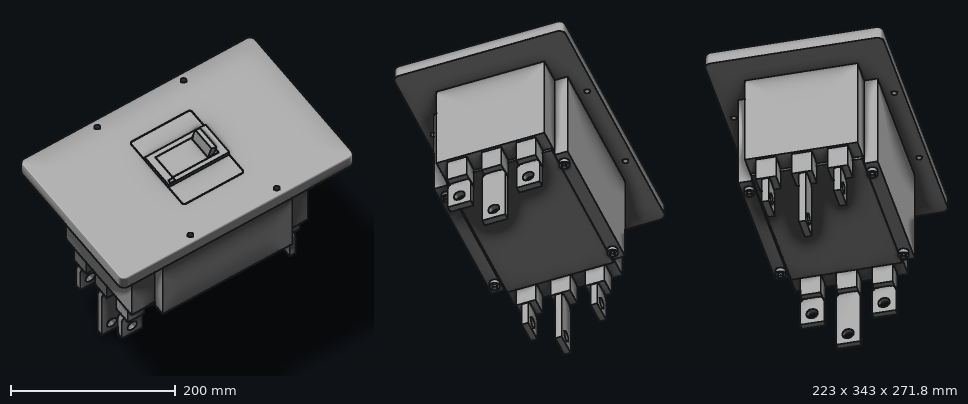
import cadquery as cq
import math


plate_x = 223.0
plate_y = 343.0
plate_t = 18.2
plate_corner_r = 8.5
plate_edge_r = 2.0
screw_hole_d = 7.2
screw_hole_x = 100.0
screw_hole_y = 63.5

nose_x = 115.5
nose_y = 89.2
nose_top = plate_t + 1.0
nose_corner_r = 3.5
centre_x = 51.0
centre_top = 24.0

recess_depth = 0.7
recess_x = 37.0
recess_y = 67.5
notch_x = 4.8
notch_y = 7.2
notch_centre_x = 22.0
recess_floor = centre_top - recess_depth

toggle_x = 34.5
toggle_t = 8.0
toggle_lean = 20.0
toggle_top = 37.5
toggle_front_y = 19.0

case_x = 140.5
case_y = 259.3
case_h = 124.0
rail_outer_x = 174.2
rail_y = 190.7
rail_h = 130.0
pad_x = 138.5
pad_h = 128.0

stud_x = 77.0
stud_y = 80.0
nut_d = 12.7
nut_h = 6.0
stud_d = 6.5
stud_h = 3.5

terminal_pitch = 45.0
terminal_y = 114.2
post_x = 25.5
post_y = 24.5
post_bottom = -154.7
tab_w = 30.2
tab_t = 8.5
tab_corner_r = 7.0
tab_hole_d = 14.0
tab_hole_to_end = 14.7
short_tab_bottom = -194.0
long_tab_bottom = -234.3
long_tab_shift = 1.5

pad_y = 2 * terminal_y - post_y


def block(size_x, size_y, bottom, top):
    """Box centred on the Z axis between two heights."""
    return (
        cq.Workplane("XY")
        .workplane(offset=bottom)
        .rect(size_x, size_y)
        .extrude(top - bottom)
    )


def make_nose():
    """Rounded block that fills the window and stands slightly above the plate."""
    return block(nose_x, nose_y, 0, nose_top).edges("|Z").fillet(nose_corner_r)


def make_cover_plate():
    plate = block(plate_x, plate_y, 0, plate_t).edges("|Z").fillet(plate_corner_r)
    plate = plate.faces(">Z").edges().fillet(plate_edge_r)
    screw_holes = (
        cq.Workplane("XY")
        .rect(2 * screw_hole_x, 2 * screw_hole_y, forConstruction=True)
        .vertices()
        .circle(screw_hole_d / 2)
        .extrude(plate_t)
    )
    return plate.cut(screw_holes).cut(make_nose())


def make_raised_centre():
    """Raised strip of the nose with the toggle recess and a small corner notch."""
    centre = block(centre_x, nose_y, 0, centre_top)
    recess = block(recess_x, recess_y, recess_floor, centre_top)
    notch = block(notch_x, notch_y, recess_floor, centre_top)
    notch_centre_y = -(recess_y + notch_y) / 2
    return centre.cut(recess).cut(notch.translate((notch_centre_x, notch_centre_y, 0)))


def make_toggle():
    """Leaning lever, rooted on the recess floor and square at its tip."""
    lean = math.radians(toggle_lean)
    run = (toggle_top - recess_floor) * math.tan(lean)
    tip_front_y = toggle_front_y + run
    tip_back_y = tip_front_y + toggle_t * math.cos(lean)
    tip_back_z = toggle_top - toggle_t * math.sin(lean)
    root_back_y = toggle_front_y + toggle_t / math.cos(lean)
    return (
        cq.Workplane("YZ")
        .moveTo(toggle_front_y, recess_floor)
        .lineTo(tip_front_y, toggle_top)
        .lineTo(tip_back_y, tip_back_z)
        .lineTo(root_back_y, recess_floor)
        .close()
        .extrude(toggle_x / 2, both=True)
    )


def make_case():
    """Long case, the two deeper rails on its sides and the pad between them."""
    rail_x = (rail_outer_x - case_x) / 2
    rail_centre_x = (rail_outer_x + case_x) / 4
    case = block(case_x, case_y, -case_h, 0)
    case = case.union(block(pad_x, pad_y, -pad_h, -case_h))
    for side in (-1, 1):
        rail = block(rail_x, rail_y, -rail_h, 0)
        case = case.union(rail.translate((side * rail_centre_x, 0, 0)))
    return case


def make_stud():
    """Round nut with the stud end showing below it."""
    nut_bottom = -rail_h - nut_h
    nut = cq.Workplane("XY").workplane(offset=nut_bottom).circle(nut_d / 2).extrude(nut_h)
    end = cq.Workplane("XY").workplane(offset=nut_bottom).circle(stud_d / 2).extrude(-stud_h)
    return nut.union(end)


def make_tab(bottom):
    """Flat tab facing Y, rounded at its upper corners, with one bolt hole."""
    tab = block(tab_w, tab_t, bottom, post_bottom)
    tab = tab.edges("|Y and >Z").fillet(tab_corner_r)
    hole = (
        cq.Workplane("XZ")
        .center(0, bottom + tab_hole_to_end)
        .circle(tab_hole_d / 2)
        .extrude(tab_t, both=True)
    )
    return tab.cut(hole)


def make_terminal(column, end):
    """Terminal in column -1, 0 or 1 at the +Y (1) or -Y (-1) end of the case."""
    is_long = column == 0
    tab = make_tab(long_tab_bottom if is_long else short_tab_bottom)
    if end < 0:
        tab = tab.rotate((0, 0, 0), (0, 0, 1), 90)
        if is_long:
            tab = tab.translate((long_tab_shift, 0, 0))
    terminal = block(post_x, post_y, post_bottom, -case_h).union(tab)
    return terminal.translate((column * terminal_pitch, end * terminal_y, 0))


def make_breaker():
    breaker = make_case().union(make_nose()).union(make_raised_centre()).union(make_toggle())
    for side in (-1, 1):
        for end in (-1, 1):
            breaker = breaker.union(make_stud().translate((side * stud_x, end * stud_y, 0)))
    for column in (-1, 0, 1):
        for end in (-1, 1):
            breaker = breaker.union(make_terminal(column, end))
    return breaker


cover_plate = make_cover_plate()
breaker = make_breaker()

result = cq.Compound.makeCompound([cover_plate.val(), breaker.val()])